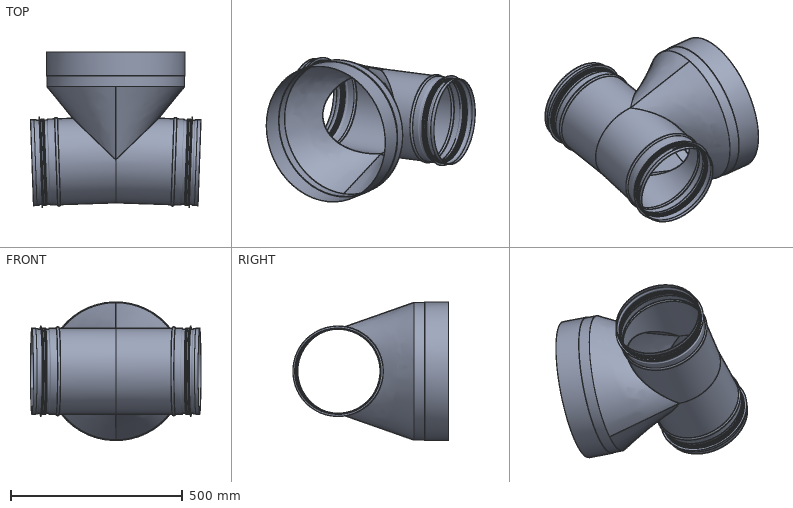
import cadquery as cq
import math


WALL = 1.0

HALF_SPAN = 249.0
LEG_TILT = 2.0
LEG_RADIUS = 252.0 / 2
HEM_LENGTH = 10.5
RIM_RADIUS = 250.5 / 2
GROOVE_START = 15.5
GROOVE_END = 52.0
GROOVE_BEND = 4.0
GROOVE_RADIUS = 247.0 / 2
SEAT_RADIUS = 246.5 / 2
SEAT_WIDTH = 5.0
BEAD_START = 70.5
BEAD_WIDTH = 9.5
BEAD_RADIUS = 260.0 / 2

GASKET_START = 25.5
GASKET_END = 40.5
GASKET_RADIUS = 250.5 / 2
LIP_RADIUS = 264.5 / 2
LIP_THICKNESS = 1.0
RIB_RADIUS = 251.5 / 2
RIB_WIDTH = 2.0
RIB_STARTS = (28.5, 34.5, 37.5)

MITRE_ANGLE = 44.0
CONE_END = 213.5
SOCKET_STEP = 244.5
SOCKET_END = 315.0
NECK_RADIUS = 402.0 / 2
SOCKET_RADIUS = 405.0 / 2

TILT = math.radians(LEG_TILT)
MITRE = math.radians(MITRE_ANGLE)
LEG_LENGTH = (HALF_SPAN - LEG_RADIUS * math.sin(TILT)) / math.cos(TILT)
BEAD_END = BEAD_START + BEAD_WIDTH
BEAD_MIDDLE = BEAD_START + BEAD_WIDTH / 2
SEAT_STARTS = (GASKET_START, GASKET_END - SEAT_WIDTH)
SIDES = (-1, 1)



def place_on_leg(body, side):
    """Put a body built along +X, with its open end at X = 0, on the left (-1) or right (+1) leg."""
    body = body.translate((-LEG_LENGTH, 0, 0)).rotate((0, 0, 0), (0, 0, 1), LEG_TILT)
    return body if side < 0 else body.mirror("YZ")


def revolve_profile(profile):
    return profile.close().revolve(360, (0, 0, 0), (1, 0, 0))


def add_s_bend(profile, start, end):
    """Continue a profile with two tangent arcs that shift it between two parallel straight stretches."""
    middle = ((start[0] + end[0]) / 2, (start[1] + end[1]) / 2)
    profile = profile.lineTo(*start)
    profile = profile.tangentArcPoint(middle, relative=False)
    return profile.tangentArcPoint(end, relative=False)


def add_step(profile, start, end, base_radius, step_radius):
    """Continue a profile with a square-cornered step to another radius and back."""
    return (
        profile.lineTo(start, base_radius)
        .lineTo(start, step_radius)
        .lineTo(end, step_radius)
        .lineTo(end, base_radius)
    )


def make_pipe_leg(side):
    """Plain leg tube from the bead to the mitre, cut to fit the other leg and the branch."""
    reach = 2 * LEG_RADIUS
    length = LEG_LENGTH - BEAD_END + reach
    tube = (
        cq.Workplane("YZ", origin=(BEAD_END, 0, 0))
        .circle(LEG_RADIUS)
        .circle(LEG_RADIUS - WALL)
        .extrude(length)
    )
    tube = place_on_leg(tube, side)
    keep = (
        cq.Workplane("XY", origin=(0, 0, -reach))
        .moveTo(0, 0)
        .lineTo(side * HALF_SPAN, HALF_SPAN * math.tan(MITRE))
        .lineTo(side * HALF_SPAN, -reach)
        .lineTo(0, -reach)
        .close()
        .extrude(2 * reach)
    )
    return tube.intersect(keep).solids()


def make_leg_end(side):
    """Leg end with a hem, a stepped gasket groove and a round stop bead."""
    floor_start = GROOVE_START + GROOVE_BEND
    floor_end = GROOVE_END - GROOVE_BEND
    rim_inner = RIM_RADIUS - WALL
    leg_inner = LEG_RADIUS - WALL
    groove_inner = GROOVE_RADIUS - WALL
    seat_inner = SEAT_RADIUS - WALL

    profile = (
        cq.Workplane("XY")
        .moveTo(0, rim_inner)
        .lineTo(0, LEG_RADIUS)
        .lineTo(HEM_LENGTH, LEG_RADIUS)
        .lineTo(HEM_LENGTH, RIM_RADIUS)
    )
    profile = add_s_bend(profile, (GROOVE_START, RIM_RADIUS), (floor_start, GROOVE_RADIUS))
    for seat_start in SEAT_STARTS:
        profile = add_step(profile, seat_start, seat_start + SEAT_WIDTH, GROOVE_RADIUS, SEAT_RADIUS)
    profile = add_s_bend(profile, (floor_end, GROOVE_RADIUS), (GROOVE_END, LEG_RADIUS))
    profile = profile.lineTo(BEAD_START, LEG_RADIUS).threePointArc(
        (BEAD_MIDDLE, BEAD_RADIUS), (BEAD_END, LEG_RADIUS)
    )

    profile = (
        profile.lineTo(BEAD_END, leg_inner)
        .lineTo(BEAD_END - WALL, leg_inner)
        .threePointArc((BEAD_MIDDLE, BEAD_RADIUS - WALL), (BEAD_START + WALL, leg_inner))
    )
    profile = add_s_bend(profile, (GROOVE_END, leg_inner), (floor_end, groove_inner))
    for seat_start in reversed(SEAT_STARTS):
        profile = add_step(profile, seat_start + SEAT_WIDTH, seat_start, groove_inner, seat_inner)
    profile = add_s_bend(profile, (floor_start, groove_inner), (GROOVE_START, rim_inner))
    return place_on_leg(revolve_profile(profile), side)


def make_gasket(side):
    """Sealing ring with two feet in the groove seats, one tall thin lip and low ribs."""
    profile = (
        cq.Workplane("XY")
        .moveTo(GASKET_START, SEAT_RADIUS)
        .lineTo(GASKET_START, LIP_RADIUS)
        .lineTo(GASKET_START + LIP_THICKNESS, LIP_RADIUS)
        .lineTo(GASKET_START + LIP_THICKNESS, GASKET_RADIUS)
    )
    for rib_start in RIB_STARTS:
        profile = add_step(profile, rib_start, rib_start + RIB_WIDTH, GASKET_RADIUS, RIB_RADIUS)
    profile = profile.lineTo(GASKET_END, GASKET_RADIUS)

    first_seat, last_seat = SEAT_STARTS
    profile = (
        profile.lineTo(GASKET_END, SEAT_RADIUS)
        .lineTo(last_seat, SEAT_RADIUS)
        .lineTo(last_seat, GROOVE_RADIUS)
        .lineTo(first_seat + SEAT_WIDTH, GROOVE_RADIUS)
        .lineTo(first_seat + SEAT_WIDTH, SEAT_RADIUS)
    )
    return place_on_leg(revolve_profile(profile), side)


def make_half_cone_block(leg_radius, neck_radius):
    """Solid left half of the branch cone: straight lines from a neck half circle to a mitre half ellipse."""
    neck_centre = cq.Vector(0, CONE_END, 0)
    along_mitre = cq.Vector(-math.cos(MITRE), math.sin(MITRE), 0)
    mitre_reach = leg_radius / math.sin(MITRE + TILT)

    neck_arc = cq.Edge.makeThreePointArc(
        neck_centre + cq.Vector(0, 0, -neck_radius),
        neck_centre + cq.Vector(-neck_radius, 0, 0),
        neck_centre + cq.Vector(0, 0, neck_radius),
    )
    mitre_normal = along_mitre.cross(cq.Vector(0, 0, 1))
    mitre_arc = cq.Edge.makeEllipse(
        mitre_reach, leg_radius, cq.Vector(0, 0, 0), mitre_normal, along_mitre, -90, 90
    )
    neck_low, neck_high = neck_arc.startPoint(), neck_arc.endPoint()
    mitre_low, mitre_high = mitre_arc.startPoint(), mitre_arc.endPoint()

    neck_chord = cq.Edge.makeLine(neck_low, neck_high)
    mitre_chord = cq.Edge.makeLine(mitre_low, mitre_high)
    low_side = cq.Edge.makeLine(mitre_low, neck_low)
    high_side = cq.Edge.makeLine(mitre_high, neck_high)
    faces = [
        cq.Face.makeRuledSurface(mitre_arc, neck_arc),
        cq.Face.makeFromWires(cq.Wire.assembleEdges([neck_arc, neck_chord])),
        cq.Face.makeFromWires(cq.Wire.assembleEdges([mitre_arc, mitre_chord])),
        cq.Face.makeFromWires(cq.Wire.assembleEdges([mitre_chord, high_side, neck_chord, low_side])),
    ]
    return cq.Workplane(cq.Solid.makeSolid(cq.Shell.makeShell(faces)))


def make_half_cone(side):
    """One sheet half of the branch cone, seamed to its mirror image at X = 0."""
    outer = make_half_cone_block(LEG_RADIUS, NECK_RADIUS)
    inner = make_half_cone_block(LEG_RADIUS - WALL, NECK_RADIUS - WALL)
    half = outer.cut(inner).solids()
    return half if side < 0 else half.mirror("YZ")


def make_socket():
    """Branch socket: a neck on the cone and a slightly wider sleeve."""
    profile = (
        cq.Workplane("XY")
        .moveTo(NECK_RADIUS - WALL, CONE_END)
        .lineTo(NECK_RADIUS, CONE_END)
        .lineTo(NECK_RADIUS, SOCKET_STEP)
        .lineTo(SOCKET_RADIUS, SOCKET_STEP)
        .lineTo(SOCKET_RADIUS, SOCKET_END)
        .lineTo(SOCKET_RADIUS - WALL, SOCKET_END)
        .lineTo(SOCKET_RADIUS - WALL, SOCKET_STEP + WALL)
        .lineTo(NECK_RADIUS - WALL, SOCKET_STEP + WALL)
        .close()
    )
    return profile.revolve(360, (0, 0, 0), (0, 1, 0))


pipe_legs = [make_pipe_leg(side) for side in SIDES]
leg_ends = [make_leg_end(side) for side in SIDES]
gaskets = [make_gasket(side) for side in SIDES]
half_cones = [make_half_cone(side) for side in SIDES]
socket = make_socket()

repeated_bodies = pipe_legs + leg_ends + gaskets + half_cones
result = cq.Compound.makeCompound([body.val() for body in repeated_bodies] + [socket.val()])